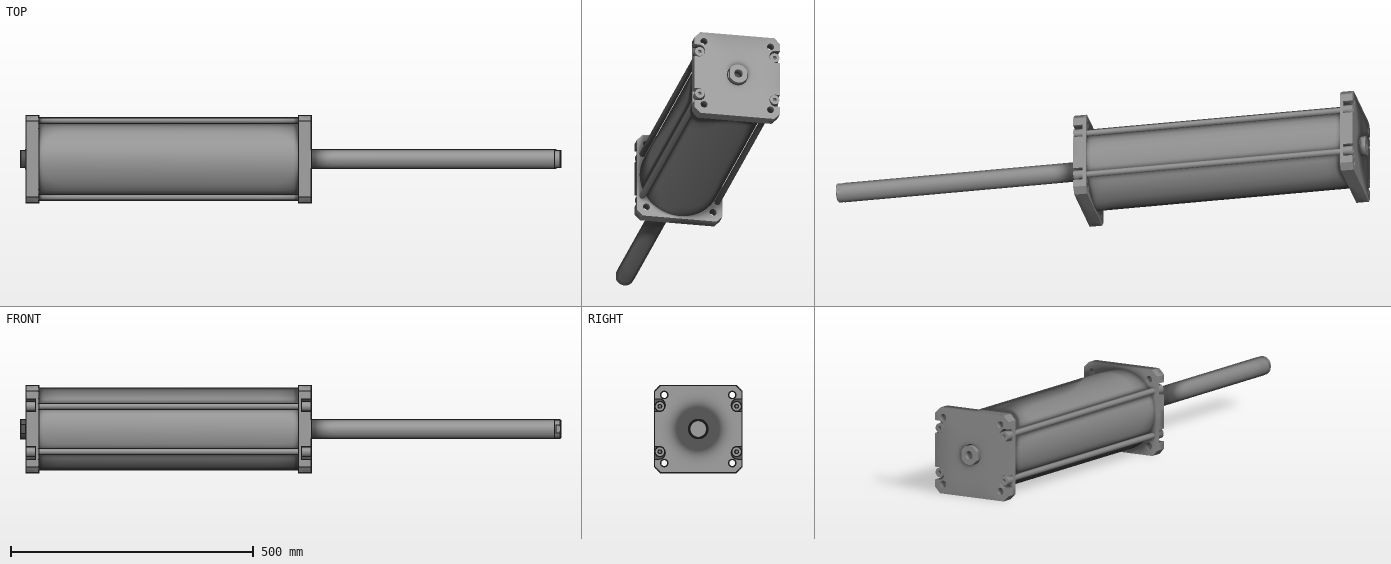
import cadquery as cq


ROD_LENGTH = 1112.0
ROD_DIAMETER = 40.0
ACROSS_FLATS = 36.0
NECK_DIAMETER = 39.0
NECK_LENGTH = 13.0
FLAT_LENGTH = 10.0
ROD_CHAMFER = 2.0
ROD_HOLE_DIAMETER = 18.0
ROD_HOLE_DEPTH = 22.0
DRILL_TIP_DEPTH = 6.0

PLATE_SIZE = 180.0
PLATE_THICKNESS = 27.0
ROD_CLEARANCE_DIAMETER = 43.0
PLATE_CHAMFER = 12.0
REAR_PLATE_X = 11.0
FRONT_PLATE_END_X = 598.0
MOUNT_HOLE_DIAMETER = 15.0
MOUNT_HOLE_OFFSET = 70.0

BARREL_DIAMETER = 169.0

TIE_ROD_DIAMETER = 12.0
TIE_ROD_Y = 79.0
TIE_ROD_Z = 47.0
HEAD_DIAMETER = 20.0
SOCKET_DIAMETER = 8.0
SOCKET_DEPTH = 7.0
RECESS_Y = 81.0
RECESS_Z = 49.0
RECESS_WIDTH = 27.0
RECESS_DEPTH = 20.0

barrel_start = REAR_PLATE_X + PLATE_THICKNESS
barrel_end = FRONT_PLATE_END_X - PLATE_THICKNESS
corner_signs = [(y_sign, z_sign) for y_sign in (-1, 1) for z_sign in (-1, 1)]


def bar(start, end, diameter, y=0.0, z=0.0):
    """Round bar parallel to X between two X positions."""
    return (
        cq.Workplane("YZ", origin=(start, 0, 0))
        .center(y, z)
        .circle(diameter / 2)
        .extrude(end - start)
    )


def block(start, end, width, height, y=0.0, z=0.0):
    """Rectangular block between two X positions, centred on (y, z)."""
    return cq.Workplane("YZ", origin=(start, 0, 0)).center(y, z).rect(width, height).extrude(end - start)


def head_recess(start, y_sign, z_sign):
    """Slot with a round inner end, open to the nearest Y side of the plate."""
    end = start + RECESS_DEPTH
    y = y_sign * RECESS_Y
    z = z_sign * RECESS_Z
    round_end = bar(start, end, RECESS_WIDTH, y, z)
    opening = block(start, end, RECESS_WIDTH, RECESS_WIDTH, y + y_sign * RECESS_WIDTH / 2, z)
    return round_end.union(opening)


def make_plate(start, rod_hole_diameter, recess_start):
    """Chamfered square plate with rod hole, mounting holes and tie rod seats."""
    end = start + PLATE_THICKNESS
    plate = block(start, end, PLATE_SIZE, PLATE_SIZE).edges("|X").chamfer(PLATE_CHAMFER)
    plate = plate.cut(bar(start, end, rod_hole_diameter))
    for y_sign, z_sign in corner_signs:
        mount_y = y_sign * MOUNT_HOLE_OFFSET
        mount_z = z_sign * MOUNT_HOLE_OFFSET
        plate = plate.cut(bar(start, end, MOUNT_HOLE_DIAMETER, mount_y, mount_z))
        plate = plate.cut(bar(start, end, TIE_ROD_DIAMETER, y_sign * TIE_ROD_Y, z_sign * TIE_ROD_Z))
        plate = plate.cut(head_recess(recess_start, y_sign, z_sign))
    return plate


def make_barrel():
    """Round body between the plates with a bore that fits the piston rod."""
    return bar(barrel_start, barrel_end, BARREL_DIAMETER).cut(bar(barrel_start, barrel_end, ROD_DIAMETER))


def make_tie_rod(y_sign, z_sign):
    """Shaft with a socketed round head at each end, flush with the outer plate faces."""
    y = y_sign * TIE_ROD_Y
    z = z_sign * TIE_ROD_Z
    start = REAR_PLATE_X
    end = FRONT_PLATE_END_X
    shaft = bar(start, end, TIE_ROD_DIAMETER, y, z)
    rear_head = bar(start, start + RECESS_DEPTH, HEAD_DIAMETER, y, z)
    front_head = bar(end - RECESS_DEPTH, end, HEAD_DIAMETER, y, z)
    rear_socket = bar(start, start + SOCKET_DEPTH, SOCKET_DIAMETER, y, z)
    front_socket = bar(end - SOCKET_DEPTH, end, SOCKET_DIAMETER, y, z)
    return shaft.union(rear_head).union(front_head).cut(rear_socket).cut(front_socket)


def flat_cutters(start, end):
    """Pair of blocks that leave two wrench flats facing -Y and +Y."""
    offset = (ACROSS_FLATS + ROD_DIAMETER) / 2
    near = block(start, end, ROD_DIAMETER, ROD_DIAMETER, -offset)
    return near.union(block(start, end, ROD_DIAMETER, ROD_DIAMETER, offset))


def rod_end_hole():
    """Blind hole in the rear end of the rod with a conical drill tip."""
    radius = ROD_HOLE_DIAMETER / 2
    return (
        cq.Workplane("XY")
        .polyline([
            (0, 0),
            (0, radius),
            (ROD_HOLE_DEPTH, radius),
            (ROD_HOLE_DEPTH + DRILL_TIP_DEPTH, 0),
        ])
        .close()
        .revolve(360, (0, 0, 0), (1, 0, 0))
    )


def make_piston_rod():
    """Through rod with flats at both ends, a rear hole and a slightly thinner chamfered front neck."""
    neck_start = ROD_LENGTH - NECK_LENGTH
    neck = bar(neck_start, ROD_LENGTH, NECK_DIAMETER).faces(">X").chamfer(ROD_CHAMFER)
    rod = bar(0, neck_start, ROD_DIAMETER).union(neck)
    rod = rod.cut(flat_cutters(0, FLAT_LENGTH))
    rod = rod.cut(flat_cutters(ROD_LENGTH - FLAT_LENGTH, ROD_LENGTH))
    return rod.cut(rod_end_hole())


rear_plate = make_plate(REAR_PLATE_X, ROD_CLEARANCE_DIAMETER, REAR_PLATE_X)
front_plate = make_plate(barrel_end, ROD_DIAMETER, FRONT_PLATE_END_X - RECESS_DEPTH)
barrel = make_barrel()
piston_rod = make_piston_rod()
tie_rods = [make_tie_rod(y_sign, z_sign) for y_sign, z_sign in corner_signs]

result = cq.Compound.makeCompound([
    rear_plate.val(),
    front_plate.val(),
    barrel.val(),
    piston_rod.val(),
    *[tie_rod.val() for tie_rod in tie_rods],
])